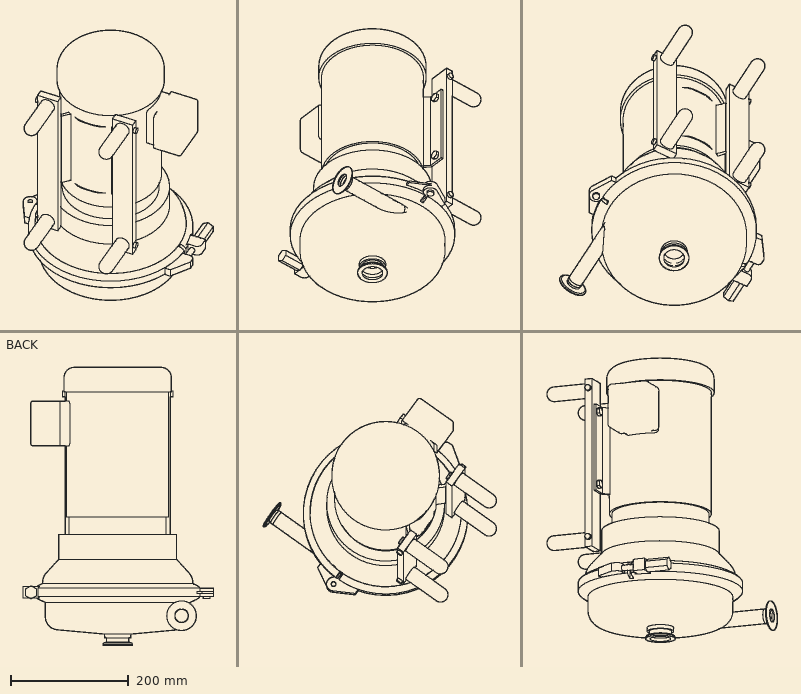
import cadquery as cq
import math


total_height = 472.15
cap_bottom_z = 430.2
motor_bottom_z = 218.3
adapter_top_z = 188.5
adapter_bottom_z = 145.3
cone_end_z = 123.4
cover_edge_z = 110.5
cover_lip_z = 107.5
cover_bottom_z = 105.0
casing_top_z = 73.3
shoulder_z = 49.2
dish_rim_z = 26.7
dish_slope = 5.2

cap_radius = 182.63 / 2
cap_round = 18.0
motor_radius = 172.97 / 2
motor_neck_radius = 164.85 / 2
adapter_radius = 200.0 / 2
adapter_lip = 1.2
cone_radius = 121.2
cover_radius = 127.5
cover_lip_radius = 128.3
casing_radius = 246.0 / 2
casing_round = (shoulder_z - dish_rim_z) / math.cos(math.radians(dish_slope))
cover_arc_inset = 1.8
cover_arc_drop = 6.0

clamp_mid_z = 90.4
clamp_radius = 139.7
clamp_half_height = 7.3
clamp_bevel_radius = 137.3
clamp_bevel_half_height = 10.0
clamp_ledge_radius = 134.0
clamp_ledge_half_height = 12.0
clamp_foot_radius = 128.5
clamp_foot_half_height = 14.6
clamp_gap = 6.4

ferrule_radius = 50.39 / 2
outlet_rim = 1.4
outlet_flange_thickness = 2.85
outlet_rim_taper = 2.5
inlet_radius = 38.23 / 2
inlet_bore = 34.8
inlet_collar_radius = 22.4
inlet_collar_bottom_z = 13.2
inlet_collar_middle_z = 16.1
inlet_collar_top_radius = 23.4
inlet_rim = 2.4
inlet_flange_height = 4.6
inlet_taper_radius = 24.0
inlet_taper_top_z = 6.0
inlet_bore_depth = 25.0
outlet_x = -108.3
outlet_z = 50.7
outlet_end_y = 160.2
outlet_diameter = 25.4
outlet_collar_diameter = 25.6
outlet_bore = 22.1
outlet_collar_start_y = 148.4
outlet_collar_end_y = 153.6
outlet_neck_diameter = 24.0
outlet_bore_end_y = 30.0

rail_width = 38.1
rail_thickness = 12.7
rail_x = 70.2
rail_back_y = -89.0
rail_front_y = rail_back_y - rail_thickness
rail_bottom_z = 150.1
rail_top_z = 443.2
pin_diameter = 25.4
pin_tip_y = -178.3
pin_heights = (166.8, 427.0)
set_screw_diameter = 10.0
set_screw_length = 4.7

bracket_bottom_z = 249.9
bracket_top_z = 400.4
bracket_height = bracket_top_z - bracket_bottom_z
foot_thickness = 4.0
foot_inner_x = 50.0
foot_outer_x = 80.0
foot_bend_x = 52.5
leg_front_x = 38.0
leg_bend = (42.0, -80.5)
leg_back_x = 43.5
leg_back_y = -74.1
leg_root_y = -72.0
foot_screw_x_left = -67.0
foot_screw_x_right = 71.0
foot_screw_flats = 12.7
foot_screw_head = 5.2
foot_screw_inset = 12.0
pad_radius = 88.2
pad_half_width = 21.0
pad_base_half_width = 28.5
pad_flat_half_width = 10.0
pad_depth_y = -80.0

box_start_x = 97.9
box_end_x = 147.6
box_half_width = 37.0
box_neck_half_width = 30.0
box_bottom_z = 338.8
box_top_z = 414.8
box_edge_round = 6.5
box_end_round = 4.0

hinge_x = -150.8
hinge_radius = 12.0
hinge_height = 14.3
hinge_lug_x = -142.7
hinge_lug_y = 39.3
hinge_root_x = -125.0
hinge_plate_thickness = 3.5
hinge_pin_bore = 7.94
hinge_pin_bore_depth = 5.0
hinge_foot_diameter = 12.0
hinge_foot_length = 3.4

lower_lug_height = hinge_height
upper_lug_height = 20.0
lock_x = 147.0
lock_bolt_diameter = 9.65
lock_outer_x = 161.0
lock_root_x = 132.0
lower_lug_end_y = -56.8
lower_lug_inner_x = 128.7
lower_lug_outer_x = 138.7
lower_lug_shoulder_y = -24.0
lower_lug_round_start_y = -16.0
lower_lug_round_mid = (159.5, -12.0)
lower_lug_round_end_x = 155.0
lower_lug_face_y = -9.3
upper_lug_face_y = 12.8
upper_lug_round_start_y = 23.0
upper_lug_round_mid = (159.0, 16.5)
upper_lug_round_end_x = 152.5
upper_lug_back_y = 36.2
nut_flats = 19.2
nut_end_y = 75.8


def box(x0, x1, y0, y1, z0, z1):
    """Block between two opposite corners."""
    return cq.Workplane("XY").box(x1 - x0, y1 - y0, z1 - z0, centered=False).translate((x0, y0, z0))


def rod_along_y(x, z, diameter, y0, y1):
    """Cylinder parallel to Y from y0 to y1."""
    return cq.Workplane("XZ", origin=(x, y0, z)).circle(diameter / 2).extrude(y0 - y1)


def hexagon_along_y(x, z, flats, y0, y1):
    """Hexagonal bar parallel to Y with corners pointing up and down."""
    corner = flats / math.sqrt(3)
    points = []
    for i in range(6):
        angle = math.radians(90 + 60 * i)
        points.append((corner * math.cos(angle), corner * math.sin(angle)))
    return cq.Workplane("XZ", origin=(x, y0, z)).polyline(points).close().extrude(y0 - y1)


def plate_at(outline, mid_z, height):
    """Horizontal plate of a closed outline, centred on mid_z."""
    return outline.extrude(height).translate((0, 0, mid_z - height / 2))


def make_turned_body():
    """Motor, adapter, cover and casing as one turned profile."""
    slope = math.radians(dish_slope)
    round_x = casing_radius - casing_round
    middle = (math.pi / 2 - slope) / 2
    fillet_mid = (round_x + casing_round * math.cos(middle), shoulder_z - casing_round * math.sin(middle))
    fillet_end_x = round_x + casing_round * math.sin(slope)
    dish_centre_z = dish_rim_z - (fillet_end_x - inlet_radius) * math.tan(slope)
    cover_mid = (cover_radius - cover_arc_inset, cover_edge_z + cover_arc_drop)
    profile = (
        cq.Workplane("XZ")
        .moveTo(0, total_height)
        .lineTo(cap_radius - cap_round, total_height)
        .radiusArc((cap_radius, total_height - cap_round), cap_round)
        .lineTo(cap_radius, cap_bottom_z)
        .lineTo(motor_radius, cap_bottom_z)
        .lineTo(motor_radius, motor_bottom_z)
        .lineTo(motor_neck_radius, motor_bottom_z)
        .lineTo(motor_neck_radius, adapter_top_z)
        .lineTo(adapter_radius, adapter_top_z)
        .lineTo(adapter_radius, adapter_bottom_z + adapter_lip)
        .lineTo(adapter_radius + adapter_lip, adapter_bottom_z)
        .lineTo(cone_radius, cone_end_z)
        .threePointArc(cover_mid, (cover_radius, cover_edge_z))
        .lineTo(cover_radius, cover_lip_z)
        .lineTo(cover_lip_radius, cover_bottom_z)
        .lineTo(casing_radius, cover_bottom_z)
        .lineTo(casing_radius, shoulder_z)
        .threePointArc(fillet_mid, (fillet_end_x, dish_rim_z))
        .lineTo(inlet_radius, dish_centre_z)
        .lineTo(0, dish_centre_z)
        .close()
    )
    return profile.revolve(360, (0, 0, 0), (0, 1, 0))


def make_clamp_ring():
    """Ring with bevelled edges around the joint of cover and casing, split at both ends of X."""
    outer_edge = [
        (clamp_foot_radius, clamp_foot_half_height),
        (clamp_ledge_radius, clamp_ledge_half_height),
        (clamp_bevel_radius, clamp_bevel_half_height),
        (clamp_radius, clamp_half_height),
    ]
    mirrored_edge = [(radius, -height) for radius, height in reversed(outer_edge)]
    bottom = casing_top_z - clamp_mid_z
    inner_end = [(casing_radius, bottom), (0, bottom)]
    points = [(0, clamp_foot_half_height)] + outer_edge + mirrored_edge + inner_end
    ring = cq.Workplane("XZ").polyline(points).close().revolve(360, (0, 0, 0), (0, 1, 0))
    gap_length = 2 * (clamp_radius - clamp_foot_radius)
    gap = cq.Workplane("XY").box(gap_length, clamp_gap, 4 * clamp_foot_half_height)
    for side in (-1, 1):
        ring = ring.cut(gap.translate((side * clamp_radius, 0, 0)))
    return ring.translate((0, 0, clamp_mid_z))


def make_inlet():
    """Downward inlet tube with a collar and a clamp ferrule."""
    points = [
        (0, 0),
        (ferrule_radius, 0),
        (ferrule_radius, inlet_rim),
        (inlet_taper_radius, inlet_flange_height),
        (inlet_radius, inlet_taper_top_z),
        (inlet_radius, inlet_collar_bottom_z),
        (inlet_collar_radius, inlet_collar_bottom_z),
        (inlet_collar_radius, inlet_collar_middle_z),
        (inlet_collar_top_radius, dish_rim_z),
        (0, dish_rim_z),
    ]
    return cq.Workplane("XZ").polyline(points).close().revolve(360, (0, 0, 0), (0, 1, 0))


def make_outlet():
    """Tangential outlet tube with a collar and a thin clamp flange."""
    flange_y = outlet_end_y - outlet_flange_thickness
    tube = rod_along_y(outlet_x, outlet_z, outlet_diameter, 0, outlet_collar_end_y)
    collar_start_y = outlet_collar_start_y
    collar = rod_along_y(outlet_x, outlet_z, outlet_collar_diameter, collar_start_y, outlet_collar_end_y)
    neck = rod_along_y(outlet_x, outlet_z, outlet_neck_diameter, collar_start_y, outlet_end_y)
    flange = rod_along_y(outlet_x, outlet_z, 2 * ferrule_radius, flange_y, outlet_end_y)
    rim_bevel = outlet_flange_thickness - outlet_rim
    flange = flange.faces("<Y").edges().chamfer(rim_bevel, outlet_rim_taper)
    return tube.union(collar).union(neck).union(flange)


def make_bracket():
    """Bent sheet bracket from the motor to the back of the +X rail."""
    foot_back_y = rail_back_y + foot_thickness
    motor_y = -math.sqrt(motor_radius**2 - leg_front_x**2)
    points = [
        (leg_front_x, leg_root_y),
        (leg_front_x, motor_y),
        leg_bend,
        (foot_inner_x, rail_back_y),
        (foot_outer_x, rail_back_y),
        (foot_outer_x, foot_back_y),
        (foot_bend_x, foot_back_y),
        (leg_back_x, leg_back_y),
        (leg_back_x, leg_root_y),
    ]
    sheet = cq.Workplane("XY", origin=(0, 0, bracket_bottom_z)).polyline(points).close()
    return sheet.extrude(bracket_height)


def make_foot_screws(x):
    """Two hexagon heads on the back of a bracket foot."""
    foot_back_y = rail_back_y + foot_thickness
    head_end_y = foot_back_y + foot_screw_head
    lower_z = bracket_bottom_z + foot_screw_inset
    lower = hexagon_along_y(x, lower_z, foot_screw_flats, rail_back_y, head_end_y)
    return lower.union(lower.translate((0, 0, bracket_height - 2 * foot_screw_inset)))


def make_rail():
    """Rail on the +X side with its bracket, round-ended pins and side screws."""
    inner_x = rail_x - rail_width / 2
    outer_x = rail_x + rail_width / 2
    screw_y = (rail_back_y + rail_front_y) / 2
    tip_centre_y = pin_tip_y + pin_diameter / 2
    rail = box(inner_x, outer_x, rail_front_y, rail_back_y, rail_bottom_z, rail_top_z)
    rail = rail.union(make_bracket())
    for z in pin_heights:
        pin = rod_along_y(rail_x, z, pin_diameter, tip_centre_y, screw_y)
        tip = cq.Workplane("XY").sphere(pin_diameter / 2).translate((rail_x, tip_centre_y, z))
        screw = cq.Workplane("YZ", origin=(rail_x, screw_y, z)).circle(set_screw_diameter / 2)
        screw = screw.extrude(rail_width / 2 + set_screw_length)
        rail = rail.union(pin).union(tip).union(screw)
    return rail


def make_motor_pad():
    """Raised pad on the -Y side of the motor: curved, with a flat middle and sloping sides."""
    edge_y = -math.sqrt(pad_radius**2 - pad_half_width**2)
    flat_y = -math.sqrt(pad_radius**2 - pad_flat_half_width**2)
    base_y = -math.sqrt(motor_radius**2 - pad_base_half_width**2)
    outline = (
        cq.Workplane("XY", origin=(0, 0, bracket_bottom_z))
        .moveTo(-pad_base_half_width, pad_depth_y)
        .lineTo(-pad_base_half_width, base_y)
        .lineTo(-pad_half_width, edge_y)
        .radiusArc((-pad_flat_half_width, flat_y), -pad_radius)
        .lineTo(pad_flat_half_width, flat_y)
        .radiusArc((pad_half_width, edge_y), -pad_radius)
        .lineTo(pad_base_half_width, base_y)
        .lineTo(pad_base_half_width, pad_depth_y)
        .close()
    )
    return outline.extrude(bracket_height)


def make_terminal_box():
    """Terminal box with rounded edges on a narrower neck."""
    body = box(box_start_x, box_end_x, -box_half_width, box_half_width, box_bottom_z, box_top_z)
    body = body.edges("|X").fillet(box_edge_round).faces(">X").edges().fillet(box_end_round)
    neck = box(0, box_start_x, -box_neck_half_width, box_neck_half_width, box_bottom_z, box_top_z)
    neck = neck.edges("|X").fillet(box_edge_round)
    return body.union(neck)


def make_hinge():
    """Clamp hinge: a full-height lug on the -Y half, a thin one on the +Y half, and a blind bore."""
    tip_slope = math.atan2(hinge_lug_y, hinge_lug_x - hinge_x)
    tangent = tip_slope + math.acos(hinge_radius / math.hypot(hinge_lug_y, hinge_lug_x - hinge_x))
    touch_x = hinge_x + hinge_radius * math.cos(tangent)
    touch_y = hinge_radius * math.sin(tangent)
    hinge = cq.Workplane("XY", origin=(hinge_x, 0, 0)).circle(hinge_radius)
    hinge = plate_at(hinge, clamp_mid_z, hinge_height)
    for side, height in ((-1, hinge_height), (1, hinge_plate_thickness)):
        points = [
            (hinge_root_x, 0),
            (hinge_x, 0),
            (touch_x, side * touch_y),
            (hinge_lug_x, side * hinge_lug_y),
            (hinge_root_x, side * hinge_lug_y),
        ]
        lug = cq.Workplane("XY").polyline(points).close()
        hinge = hinge.union(plate_at(lug, clamp_mid_z, height))
    top_z = clamp_mid_z + hinge_height / 2
    bottom_z = clamp_mid_z - hinge_height / 2
    foot = cq.Workplane("XY", origin=(hinge_x, 0, bottom_z)).circle(hinge_foot_diameter / 2)
    foot = foot.extrude(-hinge_foot_length)
    bore = cq.Workplane("XY", origin=(hinge_x, 0, top_z))
    bore = bore.circle(hinge_pin_bore / 2).extrude(-hinge_pin_bore_depth)
    return hinge.union(foot).cut(bore)


def make_lock():
    """Two clamp lugs drawn together by a bolt and a long hexagon nut."""
    lower = (
        cq.Workplane("XY")
        .moveTo(lower_lug_inner_x, lower_lug_end_y)
        .lineTo(lower_lug_outer_x, lower_lug_end_y)
        .lineTo(lock_outer_x, lower_lug_shoulder_y)
        .lineTo(lock_outer_x, lower_lug_round_start_y)
        .threePointArc(lower_lug_round_mid, (lower_lug_round_end_x, lower_lug_face_y))
        .lineTo(lock_root_x, lower_lug_face_y)
        .close()
    )
    upper = (
        cq.Workplane("XY")
        .moveTo(lock_root_x, upper_lug_back_y)
        .lineTo(lock_outer_x, upper_lug_back_y)
        .lineTo(lock_outer_x, upper_lug_round_start_y)
        .threePointArc(upper_lug_round_mid, (upper_lug_round_end_x, upper_lug_face_y))
        .lineTo(lock_root_x, upper_lug_face_y)
        .close()
    )
    lock = plate_at(lower, clamp_mid_z, lower_lug_height)
    lock = lock.union(plate_at(upper, clamp_mid_z, upper_lug_height))
    bolt = rod_along_y(lock_x, clamp_mid_z, lock_bolt_diameter, lower_lug_shoulder_y, nut_end_y)
    nut = hexagon_along_y(lock_x, clamp_mid_z, nut_flats, upper_lug_back_y, nut_end_y)
    return lock.union(bolt).union(nut)


rail = make_rail()
result = make_turned_body()
for feature in (
    make_clamp_ring(),
    make_inlet(),
    make_outlet(),
    rail,
    rail.mirror("YZ"),
    make_foot_screws(foot_screw_x_left),
    make_foot_screws(foot_screw_x_right),
    make_motor_pad(),
    make_terminal_box(),
    make_hinge(),
    make_lock(),
):
    result = result.union(feature)

result = result.cut(cq.Workplane("XY").circle(inlet_bore / 2).extrude(inlet_bore_depth))
result = result.cut(rod_along_y(outlet_x, outlet_z, outlet_bore, outlet_bore_end_y, outlet_end_y))